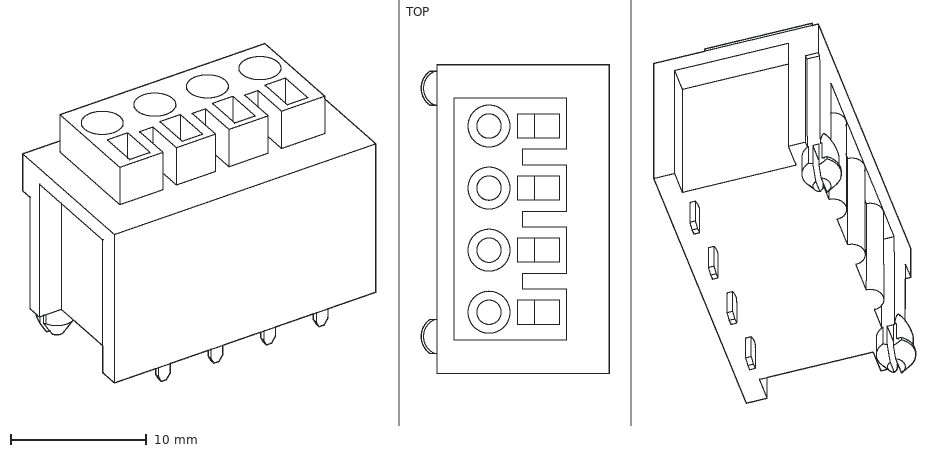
import cadquery as cq

body_depth = 12.7
body_width = 22.72
body_height = 13.1

riser_start = 1.25
riser_end = 9.55
riser_width = 17.81
riser_height = 3.3
top_z = body_height + riser_height

pole_count = 4
pitch = 4.57
pole_ys = [(i - (pole_count - 1) / 2) * pitch for i in range(pole_count)]
gap_ys = [(a + b) / 2 for a, b in zip(pole_ys, pole_ys[1:])]

screw_x = 3.85
screw_top_diameter = 3.1
screw_floor_diameter = 1.8
screw_bore_depth = 3.3
screw_cone_depth = 1.14

pocket_start = 5.95
pocket_floor_end = 7.2
pocket_end = 9.05
pocket_width = 1.77
pocket_depth = 5.68

slot_start = 6.3
slot_width = 1.15

end_recess_start = 2.32
end_recess_end = 11.09
end_recess_height = 11.72
end_recess_depth = 1.9

side_recess_depth = 1.0
side_recess_height = 9.84
rib_bottom_radius = side_recess_depth
rib_top_radius = 0.98

peg_x = 0.39
peg_radius = 1.36
peg_width = 2.52
peg_length = 3.27
peg_spacing = pole_count * pitch
peg_row_y = 0.5
peg_ys = [peg_row_y - peg_spacing / 2, peg_row_y + peg_spacing / 2]
peg_split_width = 0.48
peg_split_x = 0.35
peg_tip_radius = 0.55
hook_radius = 1.55
hook_tip_radius = 0.77
hook_top_z = -1.65
cone_top_z = -1.9
nose_height = 2.95
nose_mid_radius = 0.98
nose_mid_z = 1.27
pad_top_width = 2.8

pin_start = 10.34
pin_thickness = 0.43
pin_bow = 0.1
pin_width = 1.02
pin_tip_width = 0.43
pin_length = 2.82
pin_taper_length = 0.57
pin_offset_y = 1.0


def box(x0, x1, y_center, width, z0, z1):
    """Axis-aligned box, centred in Y about y_center."""
    return (
        cq.Workplane("XY")
        .box(x1 - x0, width, z1 - z0, centered=(False, True, False))
        .translate((x0, y_center, z0))
    )


def cone(x, y, z, bottom_radius, top_radius, height):
    """Upright cone frustum standing at (x, y, z)."""
    return cq.Workplane(cq.Solid.makeCone(bottom_radius, top_radius, height, pnt=cq.Vector(x, y, z)))


def screw_hole(y):
    """Straight bore that narrows through a cone to a flat floor."""
    bore_radius = screw_top_diameter / 2
    floor_radius = screw_floor_diameter / 2
    bore_z = top_z - screw_bore_depth
    bore = cq.Workplane("XY", origin=(screw_x, y, bore_z)).circle(bore_radius).extrude(screw_bore_depth)
    return bore.union(
        cone(screw_x, y, bore_z - screw_cone_depth, floor_radius, bore_radius, screw_cone_depth)
    )


def wire_pocket(y):
    """Pocket whose +X wall slopes down to a flat floor."""
    floor_z = top_z - pocket_depth
    return (
        cq.Workplane("XZ", origin=(0, y, 0))
        .moveTo(pocket_start, top_z)
        .lineTo(pocket_start, floor_z)
        .lineTo(pocket_floor_end, floor_z)
        .lineTo(pocket_end, top_z)
        .close()
        .extrude(pocket_width / 2, both=True)
    )


def pad(y):
    """Pad behind a peg, filling the side recess and narrowing to the peg width at its foot."""
    return (
        cq.Workplane("YZ")
        .moveTo(y - peg_width / 2, 0)
        .lineTo(y + peg_width / 2, 0)
        .lineTo(y + pad_top_width / 2, side_recess_height)
        .lineTo(y - pad_top_width / 2, side_recess_height)
        .close()
        .extrude(side_recess_depth)
    )


def revolve_peg(profile):
    """Turn a radius/height profile about the Z axis."""
    return profile.close().revolve(360, (0, 0, 0), (0, 1, 0))


def peg(y):
    """Snap peg with a rounded nose that merges into its pad."""
    shaft = revolve_peg(
        cq.Workplane("XZ")
        .moveTo(0, -peg_length)
        .lineTo(peg_tip_radius, -peg_length)
        .lineTo(peg_radius, cone_top_z)
        .lineTo(peg_radius, 0)
        .threePointArc((nose_mid_radius, nose_mid_z), (0, nose_height))
    )
    hook = revolve_peg(
        cq.Workplane("XZ")
        .moveTo(0, -peg_length)
        .lineTo(hook_tip_radius, -peg_length)
        .lineTo(hook_radius, cone_top_z)
        .lineTo(hook_radius, hook_top_z)
        .lineTo(0, hook_top_z)
    )
    hook_half = box(-hook_radius, 0, 0, peg_width, -peg_length, 0)
    flats = box(-hook_radius, hook_radius, 0, peg_width, -peg_length, nose_height)
    whole = shaft.union(hook.intersect(hook_half)).intersect(flats).translate((peg_x, y, 0))
    split_start = peg_split_x - peg_split_width / 2
    split = box(split_start, split_start + peg_split_width, y, peg_width, -peg_length, 0)
    return whole.cut(split)


def pin(y):
    """Bowed solder pin with a tapered tip."""
    half_width = pin_width / 2
    outer_edge = pin_start + pin_bow
    inner_edge = outer_edge + pin_thickness
    strip = (
        cq.Workplane("XY", origin=(0, y, -pin_length))
        .moveTo(outer_edge, -half_width)
        .threePointArc((pin_start, 0), (outer_edge, half_width))
        .lineTo(inner_edge, half_width)
        .threePointArc((inner_edge - pin_bow, 0), (inner_edge, -half_width))
        .close()
        .extrude(pin_length)
    )
    taper_z = pin_taper_length - pin_length
    outline = (
        cq.Workplane("YZ", origin=(pin_start, y, 0))
        .moveTo(-half_width, 0)
        .lineTo(-half_width, taper_z)
        .lineTo(-pin_tip_width / 2, -pin_length)
        .lineTo(pin_tip_width / 2, -pin_length)
        .lineTo(half_width, taper_z)
        .lineTo(half_width, 0)
        .close()
        .extrude(pin_bow + pin_thickness)
    )
    return strip.intersect(outline)


result = box(0, body_depth, 0, body_width, 0, body_height)
result = result.cut(box(0, side_recess_depth, 0, body_width, 0, side_recess_height))
for end_y in (-body_width / 2, body_width / 2):
    result = result.cut(
        box(end_recess_start, end_recess_end, end_y, 2 * end_recess_depth, 0, end_recess_height)
    )

result = result.union(box(riser_start, riser_end, 0, riser_width, body_height, top_z))
for pole_y in pole_ys:
    result = result.cut(screw_hole(pole_y)).cut(wire_pocket(pole_y))
for gap_y in gap_ys:
    result = result.cut(box(slot_start, riser_end, gap_y, slot_width, body_height, top_z))

for gap_y in gap_ys:
    result = result.union(
        cone(side_recess_depth, gap_y, 0, rib_bottom_radius, rib_top_radius, side_recess_height)
    )

for peg_y in peg_ys:
    result = result.union(pad(peg_y)).union(peg(peg_y))
for pole_y in pole_ys:
    result = result.union(pin(pole_y + pin_offset_y))